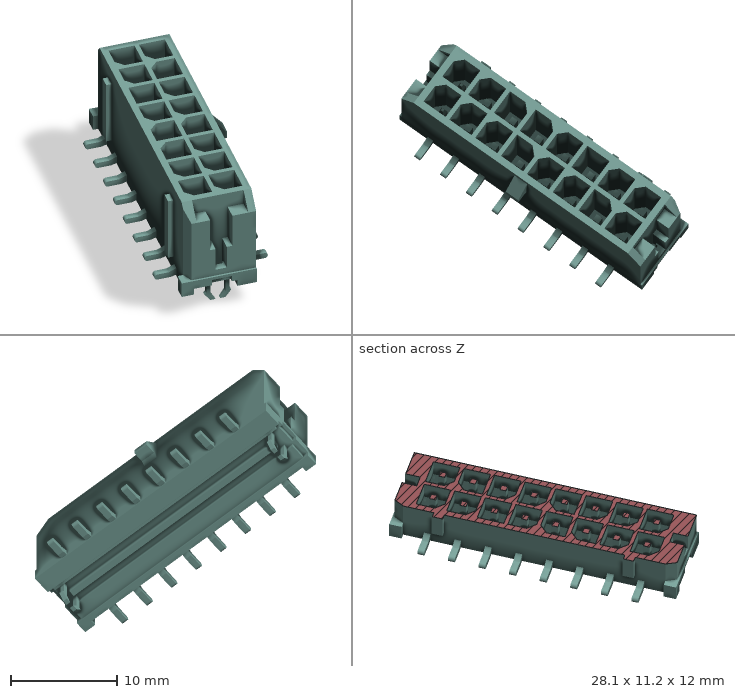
import cadquery as cq


housing_length = 27.75
housing_depth = 6.9
housing_height = 9.95
shoulder_height = 8.3
top_length = 24.88
corner_along_x = 1.0
corner_along_y = 0.5

overall_length = 28.15
foot_height = 1.6
front_reach = 3.97
foot_front_length = 1.2

columns = 8
row_span = 21.0
pitch = row_span / (columns - 1)
row_offset = pitch / 2
cavity_size = 2.55
cavity_floor = 2.25
key_size = 0.75
pin_width = 0.65
pin_top = 5.63
pin_anchor = 0.28
pin_tip_width = 0.25
pin_tip_height = 0.85

back_row_keys = "RLRRLRRR"
front_row_keys = "RRNRLLRR"

tail_width = 0.65
tail_thickness = 0.6
tail_span = 11.2
tail_knee = 4.2
tail_heel = 3.97
tail_root = 3.25
tail_root_top = 1.0
tail_root_bottom = 0.23

recess_back = 2.67
recess_front = -2.42
slot_width = 2.2
slot_step_height = 4.73
narrow_slot_width = 1.1
narrow_slot_floor = 2.28
nail_x = 12.86
nail_thickness = 0.42
nail_pocket_floor = 1.27
nail_tongue_width = 0.8
nail_tongue_thickness = 0.25

wall_back = 1.55
wall_front = -2.75
underside_height = 0.23
channel_height = 0.68
channel_width = 2.36
keel_width = 0.62
foot_notch_depth = 0.55
foot_window_width = 1.97
foot_window_top = 1.3
foot_window_depth = 0.4

leg_outer = 1.13
leg_inner = 0.73
barb_reach = 1.32
barb_root_height = -1.1
barb_height = -1.27
leg_tip_outer = 0.73
leg_tip_inner = 0.23
leg_bottom = -2.03

nail_anchor = 0.28

rib_inner_x = 8.85
rib_width = 1.07
latch_width = 1.45
latch_reach = 4.87
latch_top = 9.35
latch_nose_top = 7.7
latch_nose_bottom = 6.95
latch_bottom = 6.5
latch_throat = 3.8
latch_anchor = 0.28

half_length = housing_length / 2
half_depth = housing_depth / 2
half_top = top_length / 2


def block(x0, x1, y0, y1, z0, z1):
    """Axis-aligned box between two opposite corners."""
    return cq.Workplane("XY").box(x1 - x0, y1 - y0, z1 - z0, centered=False).translate((x0, y0, z0))


def along_x(points, x0, x1):
    """Profile of (y, z) points extruded from x0 to x1."""
    return cq.Workplane("YZ", origin=(x0, 0, 0)).polyline(points).close().extrude(x1 - x0)


def on_both_ends(shape):
    """The shape joined with its mirror image at the opposite end."""
    return shape.union(shape.mirror("YZ"))


def make_shell():
    profile = [
        (-half_length, 0),
        (half_length, 0),
        (half_length, shoulder_height),
        (half_top, housing_height),
        (-half_top, housing_height),
        (-half_length, shoulder_height),
    ]
    shell = cq.Workplane("XZ").polyline(profile).close().extrude(half_depth, both=True)
    corner = [
        (-half_length, -half_depth),
        (-half_length + corner_along_x, -half_depth),
        (-half_length, -half_depth + corner_along_y),
    ]
    wedge = cq.Workplane("XY").polyline(corner).close().extrude(housing_height)
    return shell.cut(on_both_ends(wedge))


def make_foot():
    outer = -overall_length / 2
    inner = outer + foot_front_length
    return block(outer, inner, -front_reach, half_depth, 0, foot_height)


def make_rib():
    outer = -rib_inner_x - rib_width
    return block(outer, -rib_inner_x, -front_reach, -half_depth, foot_height, shoulder_height)


def make_latch():
    profile = [
        (half_depth - latch_anchor, latch_top),
        (half_depth, latch_top),
        (latch_reach, latch_nose_top),
        (latch_reach, latch_nose_bottom),
        (latch_throat, latch_nose_bottom),
        (half_depth, latch_bottom),
        (half_depth - latch_anchor, latch_bottom),
    ]
    return along_x(profile, -latch_width / 2, latch_width / 2)


def make_end_recess():
    """Everything removed from one end face: upper step, stepped slot and nail pocket."""
    outer = -overall_length / 2
    half_slot = slot_width / 2
    half_narrow = narrow_slot_width / 2
    half_tongue = nail_tongue_width / 2
    upper = block(outer, -half_top, recess_front, recess_back, shoulder_height, housing_height)
    wide = block(outer, -half_top, -half_slot, half_slot, slot_step_height, shoulder_height)
    narrow = block(outer, -half_top, -half_narrow, half_narrow, narrow_slot_floor, slot_step_height)
    pocket = block(-nail_x, -half_top, -half_narrow, half_narrow, nail_pocket_floor, narrow_slot_floor)
    tongue_outer = -nail_x - nail_tongue_thickness
    tongue = block(tongue_outer, -nail_x, -half_tongue, half_tongue, nail_pocket_floor, narrow_slot_floor)
    return upper.union(wide).union(narrow).union(pocket).union(tongue)


def make_foot_notch():
    outer = -overall_length / 2
    half_window = foot_window_width / 2
    notch = block(outer, outer + foot_notch_depth, wall_front, wall_back, 0, channel_height)
    window_back = outer + foot_window_depth
    window = block(outer, window_back, -half_window, half_window, channel_height, foot_window_top)
    return notch.union(window)


def make_underside_recess():
    """Shallow recess with a deeper middle channel, leaving a keel between the solder nails."""
    reach = overall_length / 2 - foot_notch_depth
    half_channel = channel_width / 2
    half_keel = keel_width / 2
    shallow = block(-reach, reach, wall_front, wall_back, 0, underside_height)
    channel = block(-reach, reach, -half_channel, half_channel, 0, channel_height)
    keel = block(-half_top, half_top, -half_keel, half_keel, 0, channel_height)
    return shallow.union(channel).cut(keel)


def make_nail():
    leg = [
        (leg_outer, channel_height + nail_anchor),
        (leg_outer, barb_root_height),
        (barb_reach, barb_height),
        (leg_tip_outer, leg_bottom),
        (leg_tip_inner, leg_bottom),
        (leg_inner, barb_height),
        (leg_inner, channel_height + nail_anchor),
    ]
    back_leg = along_x(leg, -nail_x, -nail_x + nail_thickness)
    return back_leg.union(back_leg.mirror("XZ"))


def make_tail():
    """Back-row solder tail at X = 0: sloped root, flat foot and fully rounded tip."""
    tip = tail_span / 2
    tip_radius = tail_thickness / 2
    profile = (
        cq.Workplane("YZ")
        .moveTo(tail_root, tail_root_bottom)
        .lineTo(tail_heel, 0)
        .lineTo(tip - tip_radius, 0)
        .threePointArc((tip, tip_radius), (tip - tip_radius, tail_thickness))
        .lineTo(tail_knee, tail_thickness)
        .lineTo(tail_root, tail_root_top)
        .close()
    )
    return profile.extrude(tail_width / 2, both=True)


def make_cavity(key):
    """Contact cavity centred on the Z axis, with its keyed corner filled."""
    half = cavity_size / 2
    cavity = block(-half, half, -half, half, cavity_floor, housing_height)
    if key == "N":
        return cavity
    side = half if key == "R" else -half
    inset = key_size if key == "R" else -key_size
    corner = [(side, -half), (side - inset, -half), (side, -half + key_size)]
    return cavity.cut(cq.Workplane("XY").polyline(corner).close().extrude(housing_height))


def make_pin(tapered):
    half = pin_width / 2
    if not tapered:
        return block(-half, half, -half, half, cavity_floor - pin_anchor, pin_top)
    shank_top = pin_top - pin_tip_height
    shank = block(-half, half, -half, half, cavity_floor - pin_anchor, shank_top)
    tip = (
        cq.Workplane("XY", origin=(0, 0, shank_top))
        .rect(pin_width, pin_width)
        .workplane(offset=pin_tip_height)
        .rect(pin_tip_width, pin_tip_width)
        .loft()
    )
    return shank.union(tip)


housing = make_shell().union(on_both_ends(make_foot())).union(on_both_ends(make_rib()))
housing = housing.union(make_latch())
housing = housing.cut(on_both_ends(make_end_recess()))
housing = housing.cut(on_both_ends(make_foot_notch()))
housing = housing.cut(make_underside_recess())

back_tail = make_tail()
front_tail = back_tail.mirror("XZ")
for column in range(columns):
    x = -row_span / 2 + column * pitch
    pin = make_pin(tapered=column == columns - 1)
    for y, keys in ((row_offset, back_row_keys), (-row_offset, front_row_keys)):
        housing = housing.cut(make_cavity(keys[column]).translate((x, y, 0)))
        housing = housing.union(pin.translate((x, y, 0)))
    housing = housing.union(back_tail.translate((x, 0, 0)))
    housing = housing.union(front_tail.translate((x, 0, 0)))

result = housing.union(on_both_ends(make_nail()))